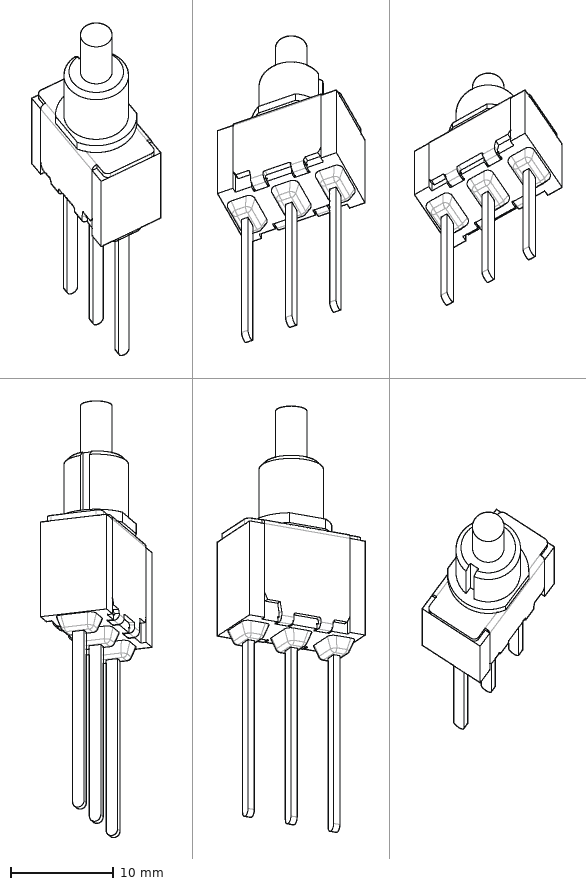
import cadquery as cq


LENGTH = 12.7
DEPTH = 6.9
HOUSING_HEIGHT = 9.75

SHEET = 0.55
STRIP_LENGTH = 9.38
TOP_PLATE_CORNER_RADIUS = 0.55
TAB_INNER_X = 1.47
TAB_OUTER_X = 2.82
TAB_REACH = 1.2
TAB_CLEARANCE = 0.15
LOW_CUTOUT_HEIGHT = 1.02
HIGH_CUTOUT_HEIGHT = 1.93
WALL_BEVEL_LENGTH = 0.32
WALL_BEVEL_HEIGHT = 0.65
MIDDLE_CUTOUT_RADIUS = 0.2
LOW_CUTOUT_LEAN = 0.2
LOW_CUTOUT_LEAN_HEIGHT = 0.37
HIGH_CUTOUT_LEAN = 0.17
HIGH_CUTOUT_LEAN_HEIGHT = 1.0

FLANGE_DIAMETER = 7.95
FLANGE_HEIGHT = 1.02
BUSHING_DIAMETER = 6.32
BUSHING_HEIGHT = 6.43
BUSHING_CHAMFER = 0.5
KEYWAY_WIDTH = 0.95
KEYWAY_FLOOR_X = 2.36

PLUNGER_DIAMETER = 3.1
PLUNGER_LENGTH = 5.52

TERMINAL_PITCH = 4.7
TERMINAL_WIDTH = 0.7
TERMINAL_DEPTH = 1.2
OVERALL_HEIGHT = 42.84
SEAL_WIDTH = 2.9
SEAL_DEPTH = 4.1
SEAL_CORNER_RADIUS = 0.65
SEAL_END_WIDTH = 1.75
SEAL_END_DEPTH = 3.1
SEAL_END_CORNER_RADIUS = 0.4
SEAL_END_ROUNDING = 0.5
SEAL_HEIGHT = 1.45

PLATE_TOP = HOUSING_HEIGHT + SHEET
FLANGE_TOP = PLATE_TOP + FLANGE_HEIGHT
BUSHING_TOP = FLANGE_TOP + BUSHING_HEIGHT
PLUNGER_TOP = BUSHING_TOP + PLUNGER_LENGTH
TERMINAL_LENGTH = OVERALL_HEIGHT - PLUNGER_TOP
CORE_DEPTH = DEPTH - 2 * SHEET
TERMINAL_POSITIONS = [i * TERMINAL_PITCH for i in (-1, 0, 1)]


def box(length, depth, height, bottom=0.0):
    """Box centred on the Z axis in X and Y, standing on the given level."""
    return cq.Workplane("XY", origin=(0, 0, bottom)).box(
        length, depth, height, centered=(True, True, False)
    )


def seal_section(width, depth, corner_radius, level):
    """Rectangle with rounded corners, centred on the Z axis at the given level."""
    outline = cq.Sketch().rect(width, depth).vertices().fillet(corner_radius)
    return outline.moved(cq.Location(cq.Vector(0, 0, level)))


def seal(x):
    """Seal tapering downward from the underside of the housing."""
    root = seal_section(SEAL_WIDTH, SEAL_DEPTH, SEAL_CORNER_RADIUS, 0)
    end = seal_section(SEAL_END_WIDTH, SEAL_END_DEPTH, SEAL_END_CORNER_RADIUS, -SEAL_HEIGHT)
    return (
        cq.Workplane("XY")
        .placeSketch(root, end)
        .loft(ruled=True)
        .faces("<Z")
        .edges()
        .fillet(SEAL_END_ROUNDING)
        .translate((x, 0, 0))
    )


def terminal(x):
    """Flat terminal whose lower end is rounded over its full depth."""
    end_radius = TERMINAL_DEPTH / 2
    return (
        cq.Workplane("YZ", origin=(x - TERMINAL_WIDTH / 2, 0, 0))
        .moveTo(-end_radius, 0)
        .lineTo(-end_radius, end_radius - TERMINAL_LENGTH)
        .threePointArc((0, -TERMINAL_LENGTH), (end_radius, end_radius - TERMINAL_LENGTH))
        .lineTo(end_radius, 0)
        .close()
        .extrude(TERMINAL_WIDTH)
    )


def make_housing():
    """Housing block, recessed for the frame, with its seals and terminals."""
    core = box(STRIP_LENGTH, CORE_DEPTH, HOUSING_HEIGHT)
    end_length = (LENGTH - STRIP_LENGTH) / 2
    end_x = (STRIP_LENGTH + end_length) / 2
    housing = core
    for side in (-1, 1):
        end_block = box(end_length, DEPTH, HOUSING_HEIGHT).translate((side * end_x, 0, 0))
        housing = housing.union(end_block)

    notch_width = TAB_OUTER_X - TAB_INNER_X + 2 * TAB_CLEARANCE
    notch_x = (TAB_OUTER_X + TAB_INNER_X) / 2
    notch_y = (DEPTH - TAB_REACH) / 2
    for x in (-notch_x, notch_x):
        for y in (-notch_y, notch_y):
            housing = housing.cut(box(notch_width, TAB_REACH, SHEET).translate((x, y, 0)))

    for x in TERMINAL_POSITIONS:
        housing = housing.union(seal(x)).union(terminal(x))
    return housing


def end_cutout(side, height, lean, lean_height):
    """Opening at the lower corner of the side walls, outboard of a tab.

    The edge beside the tab leans outward by the given amount over its upper part.
    """
    outer_x = STRIP_LENGTH / 2
    outline = [
        (outer_x, 0),
        (outer_x, height + WALL_BEVEL_HEIGHT),
        (outer_x - WALL_BEVEL_LENGTH, height),
        (TAB_OUTER_X + lean, height),
        (TAB_OUTER_X, height - lean_height),
        (TAB_OUTER_X, 0),
    ]
    return (
        cq.Workplane("XZ", origin=(0, DEPTH / 2, 0))
        .polyline([(side * x, z) for x, z in outline])
        .close()
        .extrude(DEPTH)
    )


def make_strip():
    """Sheet strip folded over the housing, its tabs bent in underneath."""
    strip = box(STRIP_LENGTH, DEPTH, PLATE_TOP).edges("|X").fillet(SHEET)
    strip = strip.cut(box(STRIP_LENGTH, CORE_DEPTH, HOUSING_HEIGHT - SHEET, SHEET))
    strip = strip.cut(box(STRIP_LENGTH, DEPTH - 2 * TAB_REACH, SHEET))
    middle_cutout = (
        box(2 * TAB_INNER_X, DEPTH, LOW_CUTOUT_HEIGHT)
        .edges("|Y and >Z")
        .fillet(MIDDLE_CUTOUT_RADIUS)
    )
    return (
        strip.cut(middle_cutout)
        .cut(end_cutout(-1, LOW_CUTOUT_HEIGHT, LOW_CUTOUT_LEAN, LOW_CUTOUT_LEAN_HEIGHT))
        .cut(end_cutout(1, HIGH_CUTOUT_HEIGHT, HIGH_CUTOUT_LEAN, HIGH_CUTOUT_LEAN_HEIGHT))
    )


def make_bushing():
    """Round bushing on a flange with two flats, with a keyway on the -X side."""
    flange = (
        cq.Workplane("XY", origin=(0, 0, PLATE_TOP))
        .circle(FLANGE_DIAMETER / 2)
        .extrude(FLANGE_HEIGHT)
        .intersect(box(FLANGE_DIAMETER, DEPTH, FLANGE_HEIGHT, PLATE_TOP))
    )
    barrel = (
        cq.Workplane("XY", origin=(0, 0, FLANGE_TOP))
        .circle(BUSHING_DIAMETER / 2)
        .extrude(BUSHING_HEIGHT)
        .faces(">Z")
        .chamfer(BUSHING_CHAMFER)
    )
    keyway_depth = BUSHING_DIAMETER / 2 - KEYWAY_FLOOR_X
    keyway_x = KEYWAY_FLOOR_X + keyway_depth / 2
    keyway = box(keyway_depth, KEYWAY_WIDTH, BUSHING_HEIGHT, FLANGE_TOP)
    return flange.union(barrel.cut(keyway.translate((-keyway_x, 0, 0))))


def make_frame():
    """Folded frame carrying the bushing and the plunger."""
    top_plate = (
        box(LENGTH, CORE_DEPTH, SHEET, HOUSING_HEIGHT)
        .edges("|Z")
        .fillet(TOP_PLATE_CORNER_RADIUS)
    )
    plunger = (
        cq.Workplane("XY", origin=(0, 0, BUSHING_TOP))
        .circle(PLUNGER_DIAMETER / 2)
        .extrude(PLUNGER_LENGTH)
    )
    return make_strip().union(top_plate).union(make_bushing()).union(plunger)


housing = make_housing()
frame = make_frame()

result = cq.Compound.makeCompound([housing.val(), frame.val()])